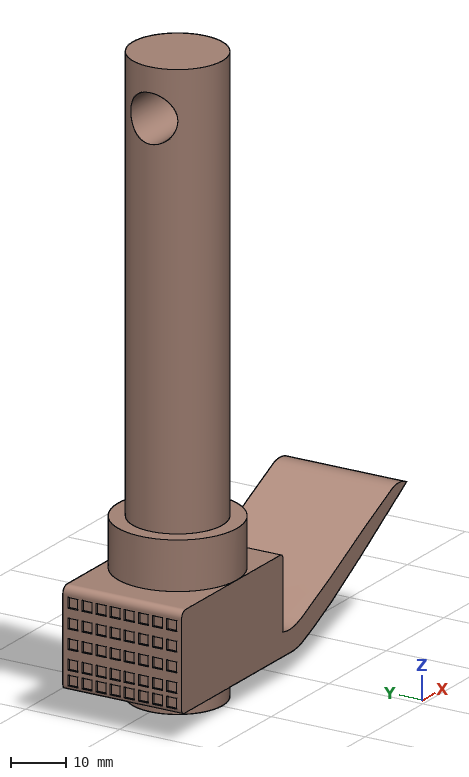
import cadquery as cq

PIN_DIAMETER = 19.03
PIN_LENGTH = 125.0
CROSS_HOLE_DIAMETER = 10.0
CROSS_HOLE_FROM_TOP = 10.0

COLLAR_DIAMETER = 25.26
COLLAR_HEIGHT = 10.0

HEAD_WIDTH = 25.28
HEAD_HEIGHT = 20.0
HEAD_BOTTOM = 5.0
HEAD_TOP = HEAD_BOTTOM + HEAD_HEIGHT
HEAD_LENGTH = 78.28
FACE_X = -19.28
HEAD_BACK_X = 16.0
FACE_TOP_RADIUS = 1.5
FACE_BOTTOM_RADIUS = 1.0
BACK_TOP_RADIUS = 1.0

CLAW_TIP = (FACE_X + HEAD_LENGTH, 25.2)
CLAW_ROOT_TOP = (HEAD_BACK_X, 9.8)
CLAW_TOP_BEND = [(18.5, 9.55), (24.6, 11.45), (36.6, 17.1), (48.7, 23.15)]
CLAW_TIP_START = (53.3, 25.2)
CLAW_TIP_CREST = (56.0, 25.9)
CLAW_BEND_START = (19.0, HEAD_BOTTOM)
CLAW_BOTTOM_BEND = [(24.6, 6.4), (36.6, 12.2)]
CLAW_BOTTOM_STRAIGHT_START = (42.6, 15.6)

SLOT_CENTER_X = 21.1
SLOT_RADIUS = 2.2
SLOT_POINT_X = 26.6
SLOT_SIDE_MIDDLE = (24.2, 1.55)

PIT_SIZE = 2.1
PIT_DEPTH = 0.5
PIT_PITCH = 3.0
PIT_COLUMNS = 8
PIT_ROW_HEIGHTS = (6.95, 10.0, 14.0, 18.0, 22.0)


def make_pin():
    pin = cq.Workplane("XY").circle(PIN_DIAMETER / 2).extrude(PIN_LENGTH)
    cross_hole = (
        cq.Workplane("YZ")
        .center(0, PIN_LENGTH - CROSS_HOLE_FROM_TOP)
        .circle(CROSS_HOLE_DIAMETER / 2)
        .extrude(PIN_DIAMETER, both=True)
    )
    return pin.cut(cross_hole)


def make_collar():
    return (
        cq.Workplane("XY")
        .workplane(offset=HEAD_TOP)
        .circle(COLLAR_DIAMETER / 2)
        .circle(PIN_DIAMETER / 2)
        .extrude(COLLAR_HEIGHT)
    )


def head_blank():
    """Block and claw drawn as one side outline and extruded across the width."""
    straight_rise = (
        CLAW_TIP[0] - CLAW_BOTTOM_STRAIGHT_START[0],
        CLAW_TIP[1] - CLAW_BOTTOM_STRAIGHT_START[1],
    )
    blank = (
        cq.Workplane("XZ", origin=(0, HEAD_WIDTH / 2, 0))
        .moveTo(FACE_X, HEAD_BOTTOM)
        .lineTo(*CLAW_BEND_START)
        .spline(
            CLAW_BOTTOM_BEND + [CLAW_BOTTOM_STRAIGHT_START],
            tangents=[(1, 0), straight_rise],
            includeCurrent=True,
        )
        .lineTo(*CLAW_TIP)
        .threePointArc(CLAW_TIP_CREST, CLAW_TIP_START)
        .spline(CLAW_TOP_BEND[::-1] + [CLAW_ROOT_TOP], includeCurrent=True)
        .lineTo(HEAD_BACK_X, HEAD_TOP)
        .lineTo(FACE_X, HEAD_TOP)
        .close()
        .extrude(HEAD_WIDTH)
    )

    def cross_edge(x, z):
        return cq.selectors.NearestToPointSelector((x, 0, z))

    blank = blank.edges(cross_edge(FACE_X, HEAD_TOP)).fillet(FACE_TOP_RADIUS)
    blank = blank.edges(cross_edge(FACE_X, HEAD_BOTTOM)).fillet(FACE_BOTTOM_RADIUS)
    return blank.edges(cross_edge(HEAD_BACK_X, HEAD_TOP)).fillet(BACK_TOP_RADIUS)


def nail_slot():
    """Half-round end with two bulging sides that run to a point."""
    side_x, side_y = SLOT_SIDE_MIDDLE
    return (
        cq.Workplane("XY")
        .moveTo(SLOT_POINT_X, 0)
        .threePointArc((side_x, side_y), (SLOT_CENTER_X, SLOT_RADIUS))
        .threePointArc((SLOT_CENTER_X - SLOT_RADIUS, 0), (SLOT_CENTER_X, -SLOT_RADIUS))
        .threePointArc((side_x, -side_y), (SLOT_POINT_X, 0))
        .close()
        .extrude(HEAD_TOP)
    )


def face_pits():
    first_column_y = -PIT_PITCH * (PIT_COLUMNS - 1) / 2
    centers = [
        (first_column_y + column * PIT_PITCH, height)
        for column in range(PIT_COLUMNS)
        for height in PIT_ROW_HEIGHTS
    ]
    return (
        cq.Workplane("YZ")
        .workplane(offset=FACE_X)
        .pushPoints(centers)
        .rect(PIT_SIZE, PIT_SIZE)
        .extrude(PIT_DEPTH)
    )


def make_head():
    pin_bore = cq.Workplane("XY").circle(PIN_DIAMETER / 2).extrude(PIN_LENGTH)
    return head_blank().cut(pin_bore).cut(nail_slot()).cut(face_pits())


pin = make_pin()
collar = make_collar()
head = make_head()

result = cq.Compound.makeCompound([pin.val(), collar.val(), head.val()])